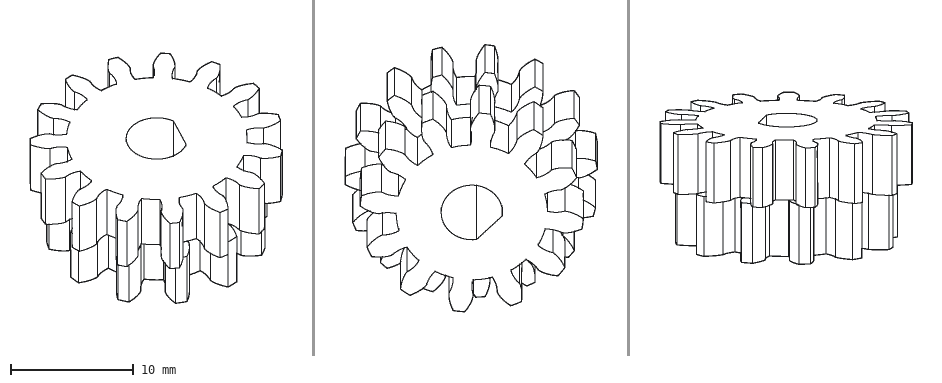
import cadquery as cq
import math

gear_width = 5.0
bore_diameter = 5.0
bore_flat_distance = 2.0

tooth_depth = 2.95
involute_height = 1.54
waist_height = 0.63
involute_samples = 5

large_teeth = 15
large_tip_radius = 10.32
large_base_half_angle = 5.87
large_waist_half_width = 0.725
large_root_half_width = 0.80
large_first_tooth_angle = 180.0

small_teeth = 12
small_tip_radius = 9.12
small_base_half_angle = 7.55
small_waist_half_width = 0.80
small_root_half_width = 0.82
small_first_tooth_angle = 22.5


def polar(radius, angle):
    """Point at a radius and an angle in degrees."""
    return (radius * math.cos(math.radians(angle)), radius * math.sin(math.radians(angle)))


def involute_half_angle(radius, base_radius, base_half_angle):
    """Half angle of a tooth, in degrees, at a radius on its involute flank."""
    pressure_angle = math.acos(base_radius / radius)
    return base_half_angle - math.degrees(math.tan(pressure_angle) - pressure_angle)


def half_angle_of(half_width, radius):
    """Half angle, in degrees, of a tooth with the given half width at a radius."""
    return math.degrees(math.asin(half_width / radius))


def make_gear(teeth, tip_radius, base_half_angle, waist_half_width, root_half_width, first_angle):
    """Spur gear standing on Z = 0, with involute flanks above undercut tooth roots."""
    root_radius = tip_radius - tooth_depth
    base_radius = tip_radius - involute_height
    waist_radius = root_radius + waist_height
    root_half_angle = half_angle_of(root_half_width, root_radius)
    waist_half_angle = half_angle_of(waist_half_width, waist_radius)
    radius_step = involute_height / involute_samples
    flank_radii = [base_radius + i * radius_step for i in range(involute_samples + 1)]
    flank = [(r, involute_half_angle(r, base_radius, base_half_angle)) for r in flank_radii]
    pitch_angle = 360.0 / teeth

    outline = cq.Workplane("XY").moveTo(*polar(root_radius, first_angle - root_half_angle))
    for tooth in range(teeth):
        centre = first_angle + tooth * pitch_angle
        rising = [polar(r, centre - half_angle) for r, half_angle in flank]
        falling = [polar(r, centre + half_angle) for r, half_angle in reversed(flank)]
        outline = (
            outline.threePointArc(polar(waist_radius, centre - waist_half_angle), rising[0])
            .spline(rising[1:], includeCurrent=True)
            .threePointArc(polar(tip_radius, centre), falling[0])
            .spline(falling[1:], includeCurrent=True)
            .threePointArc(
                polar(waist_radius, centre + waist_half_angle),
                polar(root_radius, centre + root_half_angle),
            )
        )
        gap_middle = polar(root_radius, centre + pitch_angle / 2)
        next_root = polar(root_radius, centre + pitch_angle - root_half_angle)
        outline = outline.threePointArc(gap_middle, next_root)
    return outline.close().extrude(gear_width)


def make_bore(length):
    """Round bore with one flat, starting at Z = 0."""
    round_bore = cq.Workplane("XY").circle(bore_diameter / 2).extrude(length)
    below_flat = (
        cq.Workplane("XY")
        .rect(bore_diameter, 2 * bore_diameter)
        .extrude(length)
        .translate((0, bore_flat_distance - bore_diameter, 0))
    )
    return round_bore.intersect(below_flat)


small_gear = make_gear(
    small_teeth,
    small_tip_radius,
    small_base_half_angle,
    small_waist_half_width,
    small_root_half_width,
    small_first_tooth_angle,
)
large_gear = make_gear(
    large_teeth,
    large_tip_radius,
    large_base_half_angle,
    large_waist_half_width,
    large_root_half_width,
    large_first_tooth_angle,
).translate((0, 0, gear_width))

result = small_gear.union(large_gear).cut(make_bore(2 * gear_width))